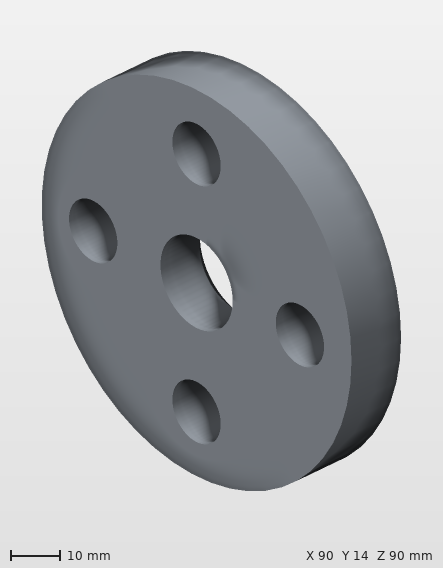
import cadquery as cq

outer_diameter = 90.0
thickness = 14.0
front_y = -thickness / 2

bore_diameter = 21.0
bore_chamfer = 3.0

bolt_hole_diameter = 14.0
bolt_circle_diameter = 60.0
bolt_hole_count = 4


def front_plane():
    """Workplane on the front face, extruding negatively towards +Y."""
    return cq.Workplane("XZ", origin=(0, front_y, 0))


def bored_disc():
    """Disc with its central bore, chamfered at the rear."""
    disc = front_plane().circle(outer_diameter / 2).extrude(-thickness)
    bore = front_plane().circle(bore_diameter / 2).extrude(-thickness)
    flare = (
        cq.Workplane("XY")
        .moveTo(0, thickness / 2 - bore_chamfer)
        .lineTo(bore_diameter / 2, thickness / 2 - bore_chamfer)
        .lineTo(bore_diameter / 2 + bore_chamfer, thickness / 2)
        .lineTo(0, thickness / 2)
        .close()
        .revolve(360, (0, 0, 0), (0, 1, 0))
    )
    return disc.cut(bore).cut(flare)


def bolt_holes():
    """Cutters for the through holes on the bolt circle."""
    return (
        front_plane()
        .polarArray(bolt_circle_diameter / 2, 0, 360, bolt_hole_count)
        .circle(bolt_hole_diameter / 2)
        .extrude(-thickness)
    )


result = bored_disc().cut(bolt_holes())